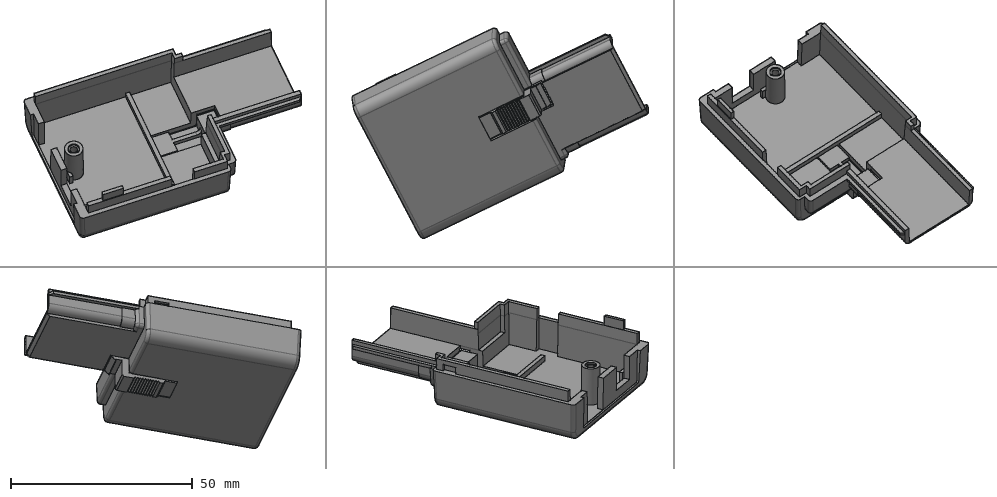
import cadquery as cq
import math

DRAFT = math.tan(math.radians(2))
LIP_DRAFT = math.tan(math.radians(3.5))

OVERLAP = 1.0

lip_top = 3.3
tab_top = 6.1
guide_top = 1.2
box_bottom = -11.6
cavity_floor = -9.6
tongue_floor = -5.0
tongue_bottom = -6.6

box_half_width = 21.705
box_rear = 44.7
box_side_radius = 3.0
box_edge_radius = 1.0

step_half_width = 19.3
step_rear = 47.1

tongue_end = 71.7
flange_thickness = 0.9
flange_overhang = 1.0
flange_left, flange_right = -step_half_width, 6.3
tongue_left = flange_left + flange_overhang
tongue_right = flange_right - flange_overhang
skin_bottom = -5.7
tongue_radius = 2.0
collar_end = 50.7
collar_offset = 0.2

lip_half_width = 20.5
lip_rear = 43.9
lip_step_right = 18.1
lip_step_rear = 45.5

front_wall_inner = 2.7
cavity_half_width = 19.3
cavity_rear = 43.1
channel_left, channel_right = -17.2, 4.0
lip_gap_right = 4.1
ledge_right = 16.9
ledge_rear = 44.4

front_recess_half_width = 16.2
front_recess_depth = 0.95
front_recess_bottom = -9.7
front_recess_radius = 0.5
port_left, port_right = -12.65, -3.25
notch_left, notch_right, notch_bottom = 4.3, 11.7, -7.1
gap_front, gap_rear, gap_outer = 27.4, 34.1, 20.4
pocket_front, pocket_rear = 37.9, 41.9
pocket_height, pocket_depth = 1.95, 0.8

tab_front, tab_rear = 7.1, 13.1
tab_inner, tab_outer = 19.35, 20.3

post_x, post_y = -0.3, 6.55
post_top = 1.45
post_base_radius, post_top_radius = 2.7, 2.53
bore_radius = 1.0
counterbore_radius, counterbore_depth = 1.55, 0.5

cross_rib_front, cross_rib_rear = 29.15, 30.4
cross_rib_right, cross_rib_top = 14.8, -8.0
stop_rib_front, stop_rib_rear = 4.05, 5.05
stop_rib_top = -6.5
stop_rib_left = 13.3
post_rib_right = 3.0

window_left = -3.9
window_right = channel_right - DRAFT * (guide_top - tongue_floor)
window_rear = 49.7
latch_left, latch_right = -3.3, 3.47
latch_tip = 49.3
latch_root = cross_rib_rear
shelf_top, shelf_bottom = -6.15, -7.1
hook_heel, hook_bottom = 47.9, -7.6
hook_tip_z = -6.4
stem_inner, stem_outer = 44.1, 46.2
grip_bottom = -12.5
grip_front = 33.9
grip_chamfer = 0.5
relief_front, relief_depth = 35.8, 1.3
web_left, web_right, web_radius = -0.6, 0.5, 1.4
tooth_first, tooth_pitch, tooth_depth, tooth_count = 35.4, 0.74, 0.5, 10


def block(x0, x1, y0, y1, z0, z1):
    return cq.Workplane("XY").box(x1 - x0, y1 - y0, z1 - z0, centered=False).translate((x0, y0, z0))


def drafted_block(x0, x1, y0, y1, top, bottom, front_draft=DRAFT, rear_draft=DRAFT, side_draft=DRAFT):
    """Block given by its top rectangle; its sides lean inwards towards the bottom."""
    depth = top - bottom
    inset = side_draft * depth
    low_front = y0 + front_draft * depth
    low_rear = y1 - rear_draft * depth
    upper = [(x0, y0), (x1, y0), (x1, y1), (x0, y1)]
    lower = [(x0 + inset, low_front), (x1 - inset, low_front), (x1 - inset, low_rear), (x0 + inset, low_rear)]
    return (
        cq.Workplane("XY").workplane(offset=bottom).polyline(lower).close()
        .workplane(offset=depth).polyline(upper).close().loft(ruled=True)
    )


def edges_below_rim(y0, y1):
    """Selects the edges whose centres lie between two Y planes and under the rim plane."""
    return cq.selectors.BoxSelector(
        (-box_half_width, y0, box_bottom - OVERLAP), (box_half_width, y1, -flange_thickness))


def box_shell():
    box = drafted_block(-box_half_width, box_half_width, 0, box_rear, 0, box_bottom)
    box = box.faces("<Z").edges("|Y").fillet(box_side_radius)
    front_edges = edges_below_rim(-OVERLAP, box_edge_radius)
    rear_edges = edges_below_rim(box_rear - box_edge_radius, box_rear + OVERLAP)
    return box.edges(front_edges + rear_edges).fillet(box_edge_radius)


def rear_step():
    hidden_front = box_rear - OVERLAP
    step = drafted_block(-step_half_width, step_half_width, hidden_front, step_rear, 0, tongue_bottom, 0)
    return step.edges(edges_below_rim(box_rear, step_rear + OVERLAP)).fillet(box_edge_radius)


def tongue_bar(length_end, offset):
    """Round-bottomed bar along Y, grown outwards by the offset."""
    left, right, bottom = tongue_left - offset, tongue_right + offset, skin_bottom - offset
    bar = block(left, right, box_rear, length_end, bottom, -flange_thickness)
    return bar.faces("<Z").edges("|Y").fillet(tongue_radius)


def tongue():
    walls = block(tongue_left, tongue_right, lip_rear, tongue_end, -flange_thickness, guide_top)
    flange = block(flange_left, flange_right, step_rear - box_edge_radius, tongue_end, -flange_thickness, 0)
    flange = flange.faces(">Y").edges("|Z").chamfer(flange_overhang)
    pad = block(tongue_left + tongue_radius, tongue_right - tongue_radius, box_rear, tongue_end,
                tongue_bottom, tongue_floor)
    pad = pad.faces(">Y").edges("<Z").chamfer(skin_bottom - tongue_bottom)
    collar = tongue_bar(collar_end, collar_offset)
    return tongue_bar(tongue_end, 0).union(collar).union(walls).union(flange).union(pad)


def lip():
    outline = [
        (-lip_half_width, front_wall_inner), (lip_half_width, front_wall_inner), (lip_half_width, lip_rear),
        (lip_step_right, lip_rear), (lip_step_right, lip_step_rear), (tongue_left, lip_step_rear),
        (tongue_left, lip_rear), (-lip_half_width, lip_rear),
    ]
    return cq.Workplane("XY").polyline(outline).close().extrude(lip_top)


def two_stage_cavity(x0, x1, y0, y1, floor):
    """Cavity with a plain front; it leans in more steeply through the lip than below the rim."""
    inset = LIP_DRAFT * lip_top
    upper = drafted_block(x0, x1, y0, y1, lip_top, 0,
                          front_draft=0, rear_draft=LIP_DRAFT, side_draft=LIP_DRAFT)
    lower = drafted_block(x0 + inset, x1 - inset, y0, y1 - inset, 0, floor, 0)
    return upper.union(lower)


def cavities():
    overlap_front = cavity_rear - OVERLAP
    open_end = tongue_end + OVERLAP
    channel = drafted_block(channel_left, channel_right, overlap_front, open_end,
                            guide_top, tongue_floor, 0, 0)
    above_guides = block(channel_left, lip_gap_right, overlap_front, open_end, guide_top, lip_top)
    main = two_stage_cavity(-cavity_half_width, cavity_half_width,
                            front_wall_inner, cavity_rear, cavity_floor)
    ledge = two_stage_cavity(0, ledge_right, overlap_front, ledge_rear, tongue_floor)
    return main.union(channel).union(above_guides).union(ledge)


def wall_openings():
    recess = drafted_block(-front_recess_half_width, front_recess_half_width, -OVERLAP, front_recess_depth,
                           0, front_recess_bottom, 0, 0)
    recess = recess.faces("<Z").edges("|Y").fillet(front_recess_radius)
    port = drafted_block(port_left, port_right, -OVERLAP, front_wall_inner, 0, cavity_floor, 0, 0)
    notch = block(notch_left, notch_right, -OVERLAP, front_wall_inner, notch_bottom, 0)
    gap = block(cavity_half_width - OVERLAP, lip_half_width, gap_front, gap_rear, 0, lip_top)
    gap = gap.union(block(cavity_half_width - OVERLAP, gap_outer, gap_front, gap_rear, cavity_floor, 0))
    pocket = block(-lip_half_width, -lip_half_width + pocket_depth,
                   pocket_front, pocket_rear, 0, pocket_height)
    window = block(window_left, window_right, latch_root, window_rear, box_bottom - OVERLAP, tongue_floor)
    return recess.union(port).union(notch).union(gap).union(pocket).union(window)


def ribs():
    base = cavity_floor - OVERLAP
    cross = block(-cavity_half_width, cross_rib_right, cross_rib_front, cross_rib_rear, base, cross_rib_top)
    stop = block(stop_rib_left, cavity_half_width, stop_rib_front, stop_rib_rear, base, stop_rib_top)
    beside_post = block(post_x, post_rib_right, stop_rib_front, stop_rib_rear, base, stop_rib_top)
    return cross.union(stop).union(beside_post)


def post():
    height = post_top - cavity_floor
    body = (
        cq.Workplane("XY").workplane(offset=cavity_floor).circle(post_base_radius)
        .workplane(offset=height).circle(post_top_radius).loft()
    )
    return body.translate((post_x, post_y, 0))


def post_bore():
    bore = (
        cq.Workplane("XY").workplane(offset=cavity_floor)
        .circle(bore_radius).extrude(post_top - cavity_floor)
    )
    counterbore = (
        cq.Workplane("XY").workplane(offset=post_top - counterbore_depth)
        .circle(counterbore_radius).extrude(counterbore_depth)
    )
    return bore.union(counterbore).translate((post_x, post_y, 0))


def make_housing():
    tab = block(tab_inner, tab_outer, tab_front, tab_rear, 0, tab_top)
    body = box_shell().union(rear_step()).union(tongue()).union(lip())
    body = body.cut(cavities()).cut(wall_openings())
    return body.union(tab).union(ribs()).union(post()).cut(post_bore())


def make_latch():
    profile = [
        (latch_root, cavity_floor),
        (stem_inner, cavity_floor),
        (stem_inner, shelf_top),
        (latch_tip, shelf_top),
        (latch_tip, hook_tip_z),
        (hook_heel, hook_bottom),
        (hook_heel, shelf_bottom),
        (stem_outer, shelf_bottom),
        (stem_outer, grip_bottom + grip_chamfer),
        (stem_outer - grip_chamfer, grip_bottom),
        (grip_front + grip_chamfer, grip_bottom),
        (grip_front, grip_bottom + grip_chamfer),
        (grip_front, box_bottom),
        (latch_root, box_bottom),
    ]
    width = latch_right - latch_left
    side = cq.Workplane("YZ").workplane(offset=latch_left)
    latch = side.polyline(profile).close().extrude(width)

    relief_floor = cavity_floor - relief_depth
    for left, right in ((latch_left, web_left), (web_right, latch_right)):
        latch = latch.cut(block(left, right, relief_front, stem_inner, relief_floor, cavity_floor))

    web_corner = (
        cq.Workplane("YZ").workplane(offset=web_left)
        .moveTo(stem_inner, cavity_floor).lineTo(stem_inner, cavity_floor + web_radius)
        .radiusArc((stem_inner - web_radius, cavity_floor), web_radius).close().extrude(web_right - web_left)
    )
    latch = latch.union(web_corner)

    for i in range(tooth_count):
        start = tooth_first + i * tooth_pitch
        groove = [(start, grip_bottom), (start + tooth_pitch, grip_bottom),
                  (start + tooth_pitch / 2, grip_bottom + tooth_depth)]
        latch = latch.cut(side.polyline(groove).close().extrude(width))
    return latch


housing = make_housing()
latch = make_latch()
result = cq.Compound.makeCompound([housing.val(), latch.val()])